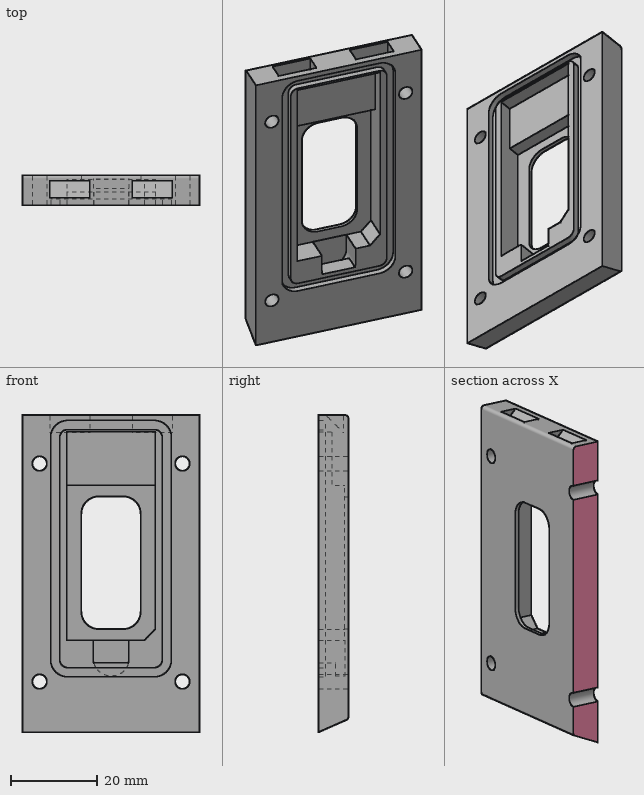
import cadquery as cq

WIDTH = 41.0
THICKNESS = 7.0
HEIGHT = 73.4
BOTTOM_RISE = 3.1
BACK_EDGE_RADIUS = 0.8

HOLE_DIAMETER = 3.3
HOLE_X = 16.5
HOLE_ROWS_Z = (11.75, 62.2)

GROOVE_TOP = 72.2
GROOVE_BOTTOM = 12.85
GROOVE_OUTER_WIDTH = 28.0
GROOVE_RIM = 2.1
GROOVE_OUTER_RADIUS = 4.0
GROOVE_DEPTH = 1.55

POCKET_WIDTH = 20.4
POCKET_TOP = 69.5
POCKET_BOTTOM = 21.3
SHELF_BOTTOM = 57.1
SHELF_DEPTH = 3.1
POCKET_DEPTH = 6.0
CORNER_X = 2.5
CORNER_Z = 2.6

WINDOW_WIDTH = 13.65
WINDOW_TOP = 54.55
WINDOW_BOTTOM = 23.9
WINDOW_RADIUS = 4.0

NOTCH_WIDTH = 8.3
NOTCH_DEPTH = 6.1
LEDGE_TOP = 16.1
LEDGE_DEPTH = 3.9
UNDERCUT_BOTTOM = 13.15
UNDERCUT_RADIUS = 4.0

SLOT_WIDTH = 9.3
SLOT_X = 9.55
SLOT_FRONT = 1.7
SLOT_BACK = 5.7


def front_block(width, bottom, top, depth):
    """Box centred on X, reaching from the front face back to Y = depth."""
    block = cq.Workplane("XY").box(width, depth, top - bottom, centered=(True, False, False))
    return block.translate((0, 0, bottom))


def side_prism(points, width, center_x=0.0):
    """Y-Z outline extruded along X, centred on center_x."""
    prism = cq.Workplane("YZ").polyline(points).close().extrude(width / 2, both=True)
    return prism.translate((center_x, 0, 0))


def make_plate():
    outline = [
        (0, 0),
        (THICKNESS, BOTTOM_RISE),
        (THICKNESS, HEIGHT),
        (0, HEIGHT),
    ]
    return side_prism(outline, WIDTH).faces(">Y").edges("|X").fillet(BACK_EDGE_RADIUS)


def make_holes():
    centers = [(side * HOLE_X, z) for side in (-1, 1) for z in HOLE_ROWS_Z]
    return cq.Workplane("XZ").pushPoints(centers).circle(HOLE_DIAMETER / 2).extrude(-THICKNESS)


def make_groove():
    outer = front_block(GROOVE_OUTER_WIDTH, GROOVE_BOTTOM, GROOVE_TOP, GROOVE_DEPTH)
    island = front_block(
        GROOVE_OUTER_WIDTH - 2 * GROOVE_RIM,
        GROOVE_BOTTOM + GROOVE_RIM,
        GROOVE_TOP - GROOVE_RIM,
        GROOVE_DEPTH,
    )
    outer = outer.edges("|Y").fillet(GROOVE_OUTER_RADIUS)
    island = island.edges("|Y").fillet(GROOVE_OUTER_RADIUS - GROOVE_RIM)
    return outer.cut(island)


def make_pocket():
    shelf = front_block(POCKET_WIDTH, SHELF_BOTTOM, POCKET_TOP, SHELF_DEPTH)
    right = POCKET_WIDTH / 2
    outline = [
        (-right, POCKET_BOTTOM),
        (right - CORNER_X, POCKET_BOTTOM),
        (right, POCKET_BOTTOM + CORNER_Z),
        (right, SHELF_BOTTOM),
        (-right, SHELF_BOTTOM),
    ]
    deep = cq.Workplane("XZ").polyline(outline).close().extrude(-POCKET_DEPTH)
    return shelf.union(deep)


def make_window():
    window = front_block(WINDOW_WIDTH, WINDOW_BOTTOM, WINDOW_TOP, THICKNESS)
    return window.edges("|Y").fillet(WINDOW_RADIUS)


def make_notch():
    notch = front_block(NOTCH_WIDTH, UNDERCUT_BOTTOM, POCKET_BOTTOM, NOTCH_DEPTH)
    notch = notch.edges("|Y and <Z").fillet(UNDERCUT_RADIUS)
    ledge = front_block(NOTCH_WIDTH, UNDERCUT_BOTTOM, LEDGE_TOP, LEDGE_DEPTH)
    return notch.cut(ledge)


def make_slot(center_x):
    depth = SLOT_BACK - SLOT_FRONT
    outline = [(SLOT_FRONT, HEIGHT), (SLOT_BACK, HEIGHT), (SLOT_BACK, HEIGHT - depth)]
    return side_prism(outline, SLOT_WIDTH, center_x)


result = (
    make_plate()
    .cut(make_holes())
    .cut(make_groove())
    .cut(make_pocket())
    .cut(make_window())
    .cut(make_notch())
    .cut(make_slot(-SLOT_X))
    .cut(make_slot(SLOT_X))
)